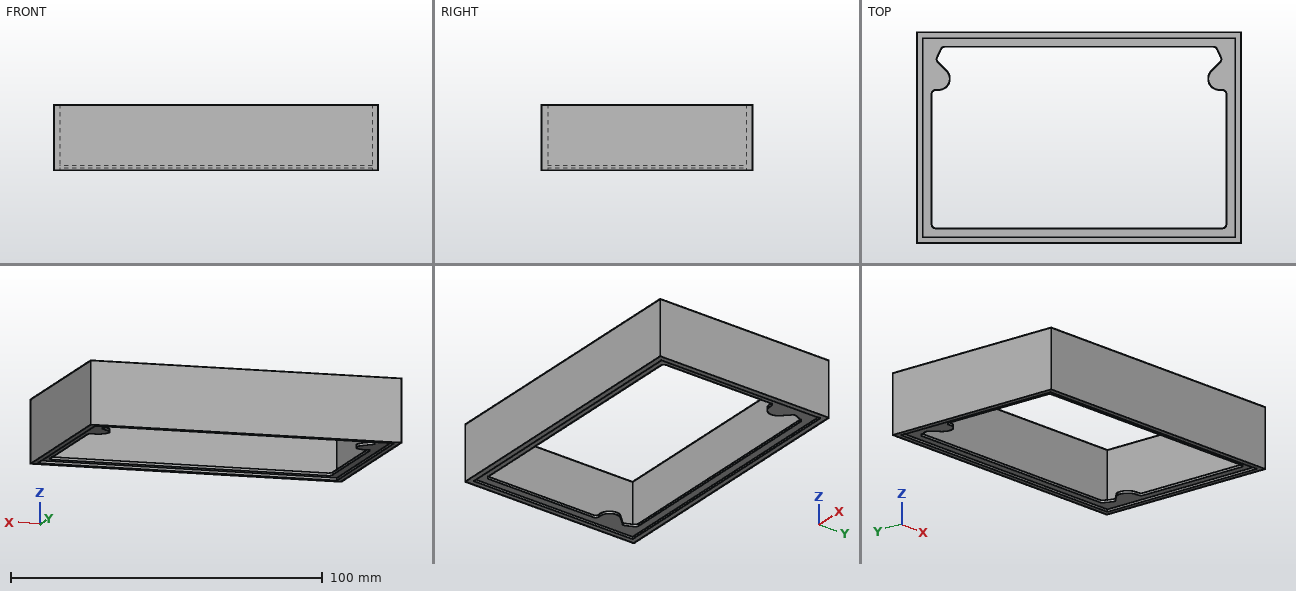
import cadquery as cq
import math

length = 104.0
width = 67.7
height = 21.0
wall = 2.0
floor_thickness = 0.8
floor_underside = 0.8

opening_margin = 4.8
corner_radius = 1.2

lug_radius = 3.6
lug_inset_x = 7.0
lug_inset_y = 15.0
notch_inset_x = 6.1
web_inset_x = 8.1

left = -length / 2
rear = width / 2


def make_frame():
    """Rectangular frame with a solid floor raised above its lower rim."""
    inner_length = length - 2 * wall
    inner_width = width - 2 * wall
    frame = (
        cq.Workplane("XY")
        .rect(length, width)
        .rect(inner_length, inner_width)
        .extrude(height)
    )
    floor = (
        cq.Workplane("XY", origin=(0, 0, floor_underside))
        .rect(inner_length, inner_width)
        .extrude(floor_thickness)
    )
    return frame.union(floor)


def make_half_opening():
    """Left half of the floor opening, bounded by X = 0."""
    opening_left = left + opening_margin
    opening_rear = rear - opening_margin
    opening_front = -rear + opening_margin
    lug_x = left + lug_inset_x
    lug_y = rear - lug_inset_y
    lug_bottom = lug_y - lug_radius

    diagonal = lug_radius * math.sqrt(0.5)
    flank_end = (lug_x + diagonal, lug_y + diagonal)
    notch_x = left + notch_inset_x
    notch = (notch_x, flank_end[1] + flank_end[0] - notch_x)

    web_end = (left + web_inset_x, opening_rear)
    lug_root = (opening_left, lug_bottom)
    front_corner = (opening_left, opening_front)

    half = (
        cq.Workplane("XY", origin=(0, 0, floor_underside))
        .moveTo(0, opening_front)
        .lineTo(*front_corner)
        .lineTo(*lug_root)
        .lineTo(lug_x, lug_bottom)
        .threePointArc((lug_x + diagonal, lug_y - diagonal), flank_end)
        .lineTo(*notch)
        .lineTo(*web_end)
        .lineTo(0, opening_rear)
        .close()
        .extrude(floor_thickness)
    )
    mid_floor = floor_underside + floor_thickness / 2
    for x, y in (front_corner, lug_root, notch, web_end):
        corner_edge = cq.selectors.NearestToPointSelector((x, y, mid_floor))
        half = half.edges("|Z").edges(corner_edge).fillet(corner_radius)
    return half


half_opening = make_half_opening()
result = make_frame().cut(half_opening).cut(half_opening.mirror("YZ"))